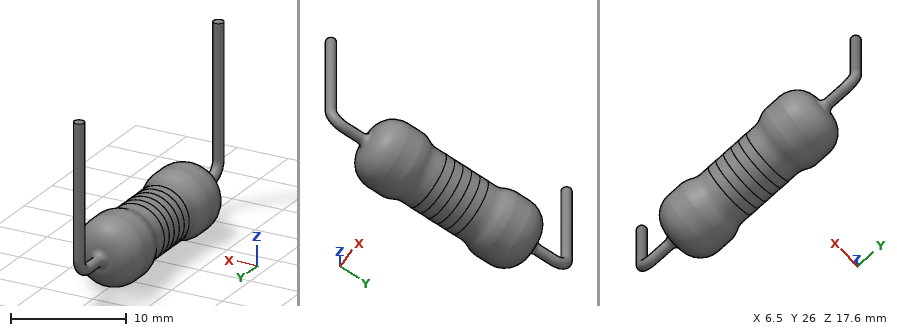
import cadquery as cq
import math

overall_length = 26.0
overall_height = 17.6

cap_radius = 6.5 / 2
waist_radius = 5.5 / 2
dome_radius = 2.25
dome_start = 6.5
cap_inner_end = 5.0
waist_half_length = 3.12

band_radius = 5.55 / 2
band_count = 3
stretch_count = 2 * band_count + 1

wire_radius = 1.0 / 2
bend_radius = 1.48
flare_radius = 0.62

lead_y = overall_length / 2 - wire_radius
lead_top = overall_height - cap_radius

dome_center_r = cap_radius - dome_radius
flare_center_r = wire_radius + flare_radius
center_distance = dome_radius + flare_radius
center_rise = flare_center_r - dome_center_r
flare_start = dome_start + math.sqrt(center_distance**2 - center_rise**2)
tangent_angle = math.asin(center_rise / center_distance)


def arc_point(center_r, center_y, radius, angle):
    """Point (radius from axis, Y) at an angle measured from the Y axis."""
    return (center_r + radius * math.sin(angle), center_y + radius * math.cos(angle))


def make_half_body():
    """Half body on the +Y side: waist, S-shaped neck, domed cap and flare."""
    neck_drop = cap_radius - waist_radius
    neck_length = cap_inner_end - waist_half_length
    neck_radius = (neck_length**2 + neck_drop**2) / (4 * neck_drop)
    neck_middle = (waist_radius + neck_drop / 2, waist_half_length + neck_length / 2)
    neck_angle = math.asin(neck_length / 2 / neck_radius)
    arc_rise = neck_radius * (1 - math.cos(neck_angle / 2))
    arc_run = neck_radius * math.sin(neck_angle / 2)

    dome_middle = arc_point(dome_center_r, dome_start, dome_radius, (math.pi / 2 + tangent_angle) / 2)
    dome_end = arc_point(dome_center_r, dome_start, dome_radius, tangent_angle)
    flare_middle_angle = math.pi + (tangent_angle + math.pi / 2) / 2
    flare_middle = arc_point(flare_center_r, flare_start, flare_radius, flare_middle_angle)

    profile = (
        cq.Workplane("XY")
        .lineTo(waist_radius, 0)
        .lineTo(waist_radius, waist_half_length)
        .threePointArc((waist_radius + arc_rise, waist_half_length + arc_run), neck_middle)
        .threePointArc((cap_radius - arc_rise, cap_inner_end - arc_run), (cap_radius, cap_inner_end))
        .lineTo(cap_radius, dome_start)
        .threePointArc(dome_middle, dome_end)
        .threePointArc(flare_middle, (wire_radius, flare_start))
        .lineTo(0, flare_start)
        .close()
    )
    return profile.revolve(360, (0, 0, 0), (0, 1, 0))


def make_band(center_y):
    """Raised band around the waist, one stretch long."""
    stretch = 2 * waist_half_length / stretch_count
    return (
        cq.Workplane("XZ", origin=(0, center_y + stretch / 2, 0))
        .circle(band_radius)
        .extrude(stretch)
    )


def make_lead():
    """Bent wire on the +Y side, from the flare outward and then up."""
    bend_start = lead_y - bend_radius
    bend_offset = bend_radius * math.sin(math.pi / 4)
    path = (
        cq.Workplane("YZ")
        .moveTo(flare_start, 0)
        .lineTo(bend_start, 0)
        .threePointArc((bend_start + bend_offset, bend_radius - bend_offset), (lead_y, bend_radius))
        .lineTo(lead_y, lead_top)
    )
    section = cq.Workplane("XZ", origin=(0, flare_start, 0)).circle(wire_radius)
    return section.sweep(path)


half_part = make_half_body().union(make_lead())
result = half_part.union(half_part.mirror("XZ"))

band_pitch = 4 * waist_half_length / stretch_count
for index in range(band_count):
    result = result.union(make_band((index - (band_count - 1) / 2) * band_pitch))